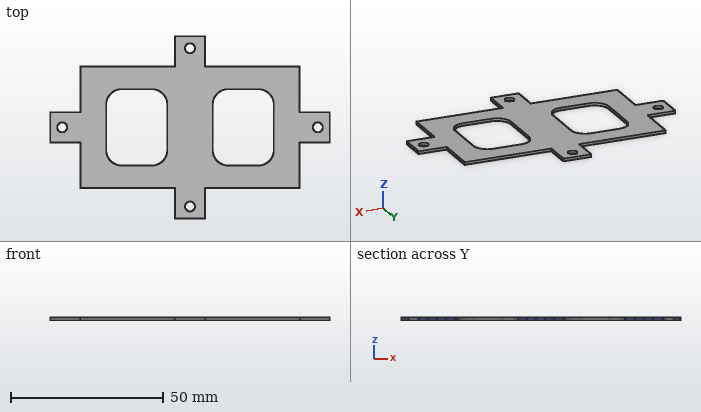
import cadquery as cq

plate_length = 72.0
plate_width = 40.0
thickness = 1.0

tab_width = 10.0
tab_reach = 10.0
tab_hole_diameter = 3.2
hole_edge_distance = 4.0

window_length = 20.0
window_width = 25.0
window_corner_radius = 5.0
web_between_windows = 15.0

overall_length = plate_length + 2 * tab_reach
overall_width = plate_width + 2 * tab_reach


def slab(length, width):
    """Flat rectangle of the plate thickness, centred on X and Y, resting on Z = 0."""
    return cq.Workplane("XY").box(length, width, thickness, centered=(True, True, False))


def tabbed_plate():
    """Main rectangle crossed by two strips whose ends form the four tabs."""
    strip_along_x = slab(overall_length, tab_width)
    strip_along_y = slab(tab_width, overall_width)
    return slab(plate_length, plate_width).union(strip_along_x).union(strip_along_y)


def windows():
    """Cutters for the two windows, mirrored about the YZ plane."""
    offset = (web_between_windows + window_length) / 2
    window = slab(window_length, window_width).edges("|Z").fillet(window_corner_radius)
    return window.translate((-offset, 0, 0)).union(window.translate((offset, 0, 0)))


def tab_holes():
    """Cutters for the through hole near the outer end of each tab."""
    hole_x = overall_length / 2 - hole_edge_distance
    hole_y = overall_width / 2 - hole_edge_distance
    centres = [(hole_x, 0), (-hole_x, 0), (0, hole_y), (0, -hole_y)]
    return cq.Workplane("XY").pushPoints(centres).circle(tab_hole_diameter / 2).extrude(thickness)


result = tabbed_plate().cut(windows()).cut(tab_holes())